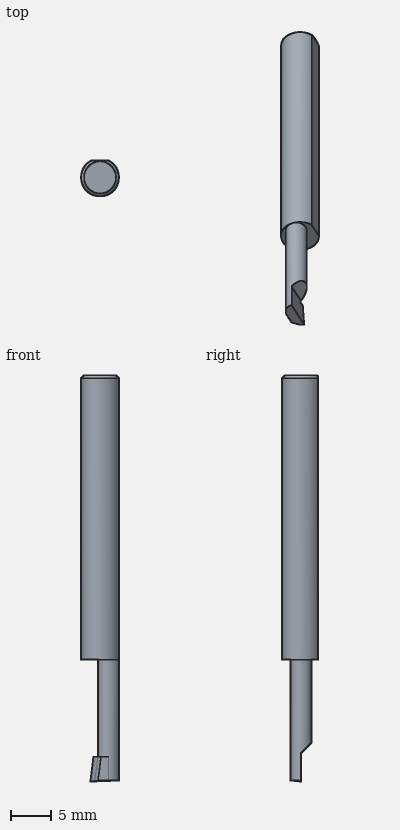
import cadquery as cq
import math

OVERALL_LENGTH = 50.8
SHANK_DIAMETER = 4.7625
SHANK_DEPTH = 4.51
SHANK_CHAMFER = 0.38
NECK_LENGTH = 15.25
NECK_DIAMETER = 2.65
RUNOUT_ANGLE = 45.0
RUNOUT_START = 3.55

TIP_REACH = 3.6
TOOTH_HEIGHT = 3.15
SIDE_RELIEF_ANGLE = 7.0
HEEL_ANGLE = 45.0
HEEL_START_DEPTH = 0.9
HEEL_START_INSET = 0.53
END_RELIEF_ANGLE = 5.0
END_CLEARANCE_ANGLE = 2.0

SHANK_RADIUS = SHANK_DIAMETER / 2
NECK_RADIUS = NECK_DIAMETER / 2
NECK_X = SHANK_RADIUS - NECK_RADIUS
TIP_X = SHANK_RADIUS - TIP_REACH
CUT_SIZE = 2 * SHANK_DIAMETER


def make_shank():
    """Chamfered cylinder with a full-length flat on its +Y side."""
    length = OVERALL_LENGTH - NECK_LENGTH
    shank = (
        cq.Workplane("XY").workplane(offset=NECK_LENGTH)
        .circle(SHANK_RADIUS).extrude(length)
        .faces(">Z").chamfer(SHANK_CHAMFER)
    )
    flat_y = SHANK_DEPTH - SHANK_RADIUS
    flat_cutter = (
        cq.Workplane("XY").workplane(offset=NECK_LENGTH)
        .center(0, flat_y + CUT_SIZE / 2).rect(CUT_SIZE, CUT_SIZE).extrude(length)
    )
    return shank.cut(flat_cutter)


def make_neck():
    """Offset cylinder with its +Y half milled away beside the tooth."""
    neck = cq.Workplane("XY").center(NECK_X, 0).circle(NECK_RADIUS).extrude(NECK_LENGTH)
    runout_rise = NECK_DIAMETER * math.tan(math.radians(RUNOUT_ANGLE))
    half_cutter = (
        cq.Workplane("YZ").workplane(offset=-CUT_SIZE / 2)
        .moveTo(0, 0)
        .lineTo(NECK_DIAMETER, 0)
        .lineTo(NECK_DIAMETER, RUNOUT_START + runout_rise)
        .lineTo(0, RUNOUT_START)
        .close().extrude(CUT_SIZE)
    )
    return neck.cut(half_cutter)


def tooth_section(height):
    """Closed tooth outline at a given height, tangent to the -Y side of the neck."""
    lean = height * math.tan(math.radians(SIDE_RELIEF_ANGLE))
    heel_run = (NECK_RADIUS - HEEL_START_DEPTH) / math.tan(math.radians(HEEL_ANGLE))
    tip = cq.Vector(TIP_X + lean, 0, height)
    heel_start = cq.Vector(tip.x + HEEL_START_INSET, -HEEL_START_DEPTH, height)
    heel_end = cq.Vector(heel_start.x + heel_run, -NECK_RADIUS, height)
    neck_tangent = cq.Vector(NECK_X, -NECK_RADIUS, height)
    neck_center = cq.Vector(NECK_X, 0, height)
    return cq.Wire.assembleEdges([
        cq.Edge.makeLine(neck_center, neck_tangent),
        cq.Edge.makeLine(neck_tangent, heel_end),
        cq.Edge.makeLine(heel_end, heel_start),
        cq.Edge.makeTangentArc(heel_start, heel_start - heel_end, tip),
        cq.Edge.makeLine(tip, neck_center),
    ])


def make_tooth():
    """Tooth leaning toward the neck as it rises, with its rake face on Y = 0."""
    sections = [tooth_section(0), tooth_section(TOOTH_HEIGHT)]
    return cq.Workplane(cq.Solid.makeLoft(sections, True))


def make_end_cutter():
    """Block whose top is the relieved end face, passing through the tip."""
    slope_x = math.tan(math.radians(END_CLEARANCE_ANGLE))
    slope_y = math.tan(math.radians(END_RELIEF_ANGLE))
    end_plane = cq.Plane(
        origin=(TIP_X, 0, 0),
        xDir=(1, 0, slope_x),
        normal=(-slope_x, slope_y, 1),
    )
    return cq.Workplane(end_plane).rect(CUT_SIZE, CUT_SIZE).extrude(-CUT_SIZE)


result = make_shank().union(make_neck()).union(make_tooth()).cut(make_end_cutter())